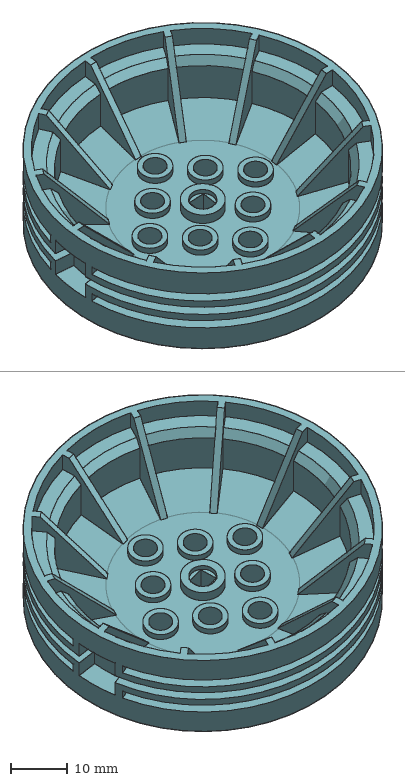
import cadquery as cq
import math

RIM_DIA = 64.0
TOTAL_HEIGHT = 18.95
RIM_BOTTOM = 0.1
RIM_HEIGHT = TOTAL_HEIGHT - RIM_BOTTOM
RIM_MID = RIM_BOTTOM + RIM_HEIGHT / 2

LIP_DIA = 61.0
LEDGE_DEPTH = 3.85
LEDGE_INNER_DIA = 55.7
WELL_DIA = 52.8
WELL_TOP_DEPTH = 5.25
CONE_TOP_DEPTH = 13.2
FLOOR_DEPTH = 14.9
FLOOR_DIA = 34.55
FLOOR_Z = TOTAL_HEIGHT - FLOOR_DEPTH

GROOVE_DIA = 56.0
GROOVE_WIDTH = 1.8
GROOVE_PITCH = 3.3
RECESS_WIDTH = 7.95
GROOVE_END_GAP = 10.95
RECESS_HEIGHT = 2 * GROOVE_PITCH + GROOVE_WIDTH

RIB_COUNT = 12
RIB_THICKNESS = 1.35
RIB_FLAT_RADIUS = 29.05
RIB_FOOT_RADIUS = 17.1
RIB_ROOT_RADIUS = (LIP_DIA + RIM_DIA) / 4
RIB_EMBED = 0.65

HUB_DIA = 8.0
HUB_RISE = 2.1
HUB_BORE_DIA = 5.0
HUB_BORE_DEPTH = 0.95
AXLE_SQUARE = 3.4
SOCKET_DIA = 6.35
SOCKET_BORE_DIA = 4.2
SOCKET_RISE = 1.3
SOCKET_PITCH = 6.35

SOCKET_STEPS = 2
SOCKET_STEP_RANGE = range(-SOCKET_STEPS, SOCKET_STEPS + 1)
SOCKET_POINTS = [
    (column * SOCKET_PITCH, row * SOCKET_PITCH)
    for column in SOCKET_STEP_RANGE
    for row in SOCKET_STEP_RANGE
    if abs(column) + abs(row) == SOCKET_STEPS
]


def cylinder(diameter, bottom, height):
    """Upright cylinder on the wheel axis."""
    return cq.Workplane("XY").workplane(offset=bottom).circle(diameter / 2).extrude(height)


def dished_rim():
    """Revolved rim with a stepped lip, a straight well and a shallow cone down to the floor."""
    profile = [
        (0, RIM_BOTTOM),
        (RIM_DIA / 2, RIM_BOTTOM),
        (RIM_DIA / 2, TOTAL_HEIGHT),
        (LIP_DIA / 2, TOTAL_HEIGHT),
        (LIP_DIA / 2, TOTAL_HEIGHT - LEDGE_DEPTH),
        (LEDGE_INNER_DIA / 2, TOTAL_HEIGHT - LEDGE_DEPTH),
        (WELL_DIA / 2, TOTAL_HEIGHT - WELL_TOP_DEPTH),
        (WELL_DIA / 2, TOTAL_HEIGHT - CONE_TOP_DEPTH),
        (FLOOR_DIA / 2, FLOOR_Z),
        (0, FLOOR_Z),
    ]
    return cq.Workplane("XZ").polyline(profile).close().revolve(360, (0, 0), (0, 1))


def groove_ring(center_z, height):
    """Ring of material between the groove floor and the rim surface."""
    bottom = center_z - height / 2
    return cylinder(RIM_DIA, bottom, height).cut(cylinder(GROOVE_DIA, bottom, height))


def y_axis_wedges(width):
    """Two opposite radial wedges on the Y axis, as wide as given where they meet the rim surface."""
    half_angle = math.asin(width / RIM_DIA)
    reach = RIM_DIA
    half_span = reach * math.tan(half_angle)
    outline = [(0, 0), (half_span, reach), (-half_span, reach)]
    wedge = cq.Workplane("XY").polyline(outline).close().extrude(TOTAL_HEIGHT)
    return wedge.union(wedge.rotate((0, 0, 0), (0, 0, 1), 180))


def rim_grooves():
    """Full middle groove, interrupted outer grooves and the recesses between their ends."""
    grooves = groove_ring(RIM_MID, GROOVE_WIDTH)
    posts = y_axis_wedges(GROOVE_END_GAP)
    for side in (-1, 1):
        outer_groove = groove_ring(RIM_MID + side * GROOVE_PITCH, GROOVE_WIDTH)
        grooves = grooves.union(outer_groove.cut(posts))
    recesses = groove_ring(RIM_MID, RECESS_HEIGHT).intersect(y_axis_wedges(RECESS_WIDTH))
    return grooves.union(recesses)


def ribs():
    """Tapered radial ribs, flush with the rim at the top and running down to the floor edge."""
    outline = [
        (RIB_FOOT_RADIUS, FLOOR_Z - RIB_EMBED),
        (RIB_ROOT_RADIUS, FLOOR_Z - RIB_EMBED),
        (RIB_ROOT_RADIUS, TOTAL_HEIGHT),
        (RIB_FLAT_RADIUS, TOTAL_HEIGHT),
        (RIB_FOOT_RADIUS, FLOOR_Z),
    ]
    rib = cq.Workplane("XZ").polyline(outline).close().extrude(RIB_THICKNESS / 2, both=True)
    pattern = cq.Workplane("XY")
    for index in range(RIB_COUNT):
        pattern = pattern.add(rib.rotate((0, 0, 0), (0, 0, 1), index * 360 / RIB_COUNT))
    return pattern.combine()


def add_hub_and_sockets(body):
    """Raise the hub and sockets from the floor, then bore them through."""
    hub_top = FLOOR_Z + HUB_RISE
    body = body.union(cylinder(HUB_DIA, 0, hub_top))
    body = body.cut(cylinder(HUB_BORE_DIA, hub_top - HUB_BORE_DEPTH, HUB_BORE_DEPTH))
    body = body.cut(cq.Workplane("XY").rect(AXLE_SQUARE, AXLE_SQUARE).extrude(hub_top))

    socket_height = FLOOR_Z + SOCKET_RISE - RIM_BOTTOM
    for x, y in SOCKET_POINTS:
        body = body.union(cylinder(SOCKET_DIA, RIM_BOTTOM, socket_height).translate((x, y, 0)))
        body = body.cut(cylinder(SOCKET_BORE_DIA, RIM_BOTTOM, socket_height).translate((x, y, 0)))
    return body


wheel = dished_rim().union(ribs()).cut(rim_grooves())
result = add_hub_and_sockets(wheel)